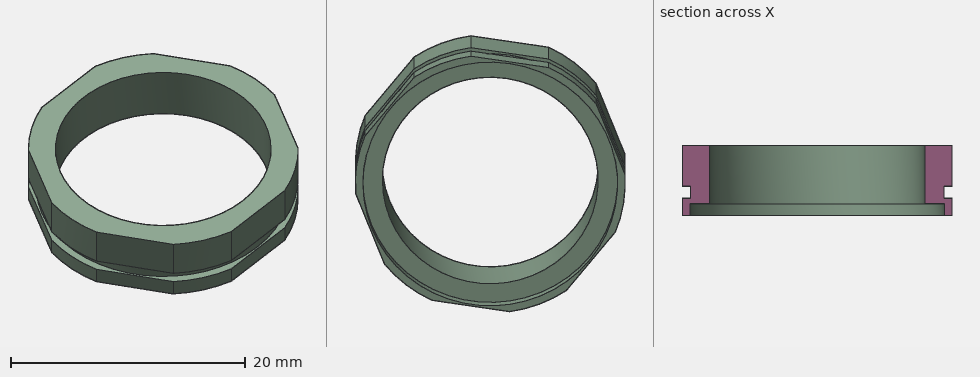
import cadquery as cq

ACROSS_FLATS = 22.0
OUTER_DIAMETER = 23.0
BORE_DIAMETER = 18.38
HEIGHT = 6.0
GROOVE_DIAMETER = 21.7
GROOVE_BOTTOM = 1.5
GROOVE_WIDTH = 1.0
RECESS_DIAMETER = GROOVE_DIAMETER
RECESS_DEPTH = 1.0

FLAT_COUNT = 6
FLAT_STEP = 360.0 / FLAT_COUNT


def flat_cutter(angle):
    """Block whose inner face forms the flat facing the given angle."""
    depth = OUTER_DIAMETER / 2
    block = cq.Workplane("XY").box(depth, OUTER_DIAMETER, HEIGHT, centered=(False, True, False))
    block = block.translate((ACROSS_FLATS / 2, 0, 0))
    return block.rotate((0, 0, 0), (0, 0, 1), angle)


def hexagonal_body():
    """Solid disc with six flats, separated by short round corners."""
    body = cq.Workplane("XY").circle(OUTER_DIAMETER / 2).extrude(HEIGHT)
    for index in range(FLAT_COUNT):
        body = body.cut(flat_cutter(index * FLAT_STEP))
    return body


def groove_cutter():
    """Ring that leaves a round groove floor all the way around the body."""
    return (
        cq.Workplane("XY")
        .workplane(offset=GROOVE_BOTTOM)
        .circle(OUTER_DIAMETER)
        .circle(GROOVE_DIAMETER / 2)
        .extrude(GROOVE_WIDTH)
    )


def bore_cutter():
    """Cylinder for the through bore."""
    return cq.Workplane("XY").circle(BORE_DIAMETER / 2).extrude(HEIGHT)


def recess_cutter():
    """Shallow cylinder that counterbores the bottom face."""
    return cq.Workplane("XY").circle(RECESS_DIAMETER / 2).extrude(RECESS_DEPTH)


result = (
    hexagonal_body()
    .cut(groove_cutter())
    .cut(bore_cutter())
    .cut(recess_cutter())
)